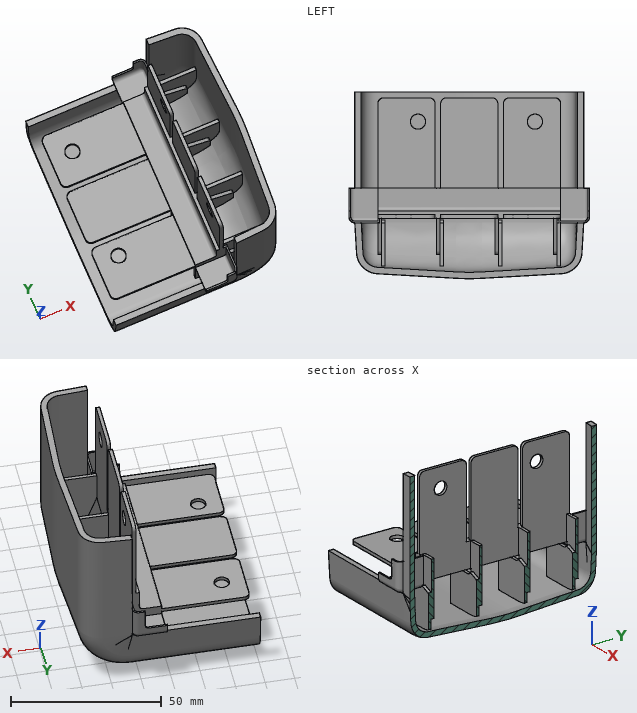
import cadquery as cq
import math


COVER_LEG = 43.5
COVER_DEPTH = 18.5
COVER_HALF_WIDTH = 38.0
COVER_WALL = 2.15
COVER_DRAFT = 3.3
COVER_CORNER_RADIUS = 7.35
HALF_BEND_ANGLE = 45
FLOOR_CREST_HALF = 4.4

LEG = 11.6
PANEL_BACK = 1.5
PANEL_FRONT = 4.0
PANEL_HALF_WIDTH = 30.3
INNER_BEND_RADIUS = 1.3

TAB_COUNT = 3
TAB_GAP = 1.8
TAB_END = 41.5
TAB_THICKNESS = 1.3
TAB_CORNER_RADIUS = 2.0
TAB_WIDTH = (2 * PANEL_HALF_WIDTH - (TAB_COUNT - 1) * TAB_GAP) / TAB_COUNT
HOLE_DIAMETER = 5.0
HOLE_DISTANCE = 33.6
HOLE_HALF_SPACING = 19.4
HOLE_OFFSET = 2.4

HALF_LENGTH = 39.9
SHEET = 0.6
LIP_BEND_RADIUS = 2.0

FIN_PAIRS = 4
FIN_THICKNESS = 1.2
FIN_REACH = 14.3
FIN_TOE = 10.5
FIN_ANGLE = math.radians(21)
FIN_TOE_RADIUS = 1.9
FIN_ARC = math.asin(FIN_TOE / FIN_REACH)
FIN_PITCH = (2 * PANEL_HALF_WIDTH - 2 * FIN_THICKNESS) / (FIN_PAIRS - 1)


def nearest(x, y, z):
    return cq.selectors.NearestToPointSelector((x, y, z))


def on_other_leg(shape):
    """Half turn about the diagonal between the legs: takes the -X leg to the +Z leg and flips Y."""
    return shape.rotate((0, 0, 0), (1, 0, -1), 180)


def trough(inset):
    """Half of the solid L-shaped trough, with its walls set in from the cover's outside by `inset`."""
    slope = math.tan(math.radians(COVER_DRAFT))
    normal_stretch = 1 / math.cos(math.radians(COVER_DRAFT))
    crest_radius = FLOOR_CREST_HALF / math.sin(math.radians(COVER_DRAFT))
    crest_height = crest_radius * (normal_stretch - 1)
    top = COVER_HALF_WIDTH - inset * normal_stretch
    peak = COVER_DEPTH + crest_height - inset * normal_stretch
    corner_y = (top - slope * peak) / (1 - slope**2)
    corner_z = -(peak - slope * corner_y)
    profile = (
        cq.Sketch()
        .polygon([(-top, 0), (-corner_y, corner_z), (0, -peak), (corner_y, corner_z), (top, 0), (-top, 0)])
        .vertices(nearest(0, -peak, 0))
        .fillet(crest_radius - inset)
        .reset()
        .vertices(nearest(-corner_y, corner_z, 0))
        .fillet(COVER_CORNER_RADIUS - inset)
        .reset()
        .vertices(nearest(corner_y, corner_z, 0))
        .fillet(COVER_CORNER_RADIUS - inset)
        .reset()
    )
    leg = cq.Workplane("YZ").placeSketch(profile).extrude(-COVER_LEG)
    bend = cq.Workplane("YZ").placeSketch(profile).revolve(HALF_BEND_ANGLE, (0, 0, 0), (-1, 0, 0))
    return leg.union(bend, clean=False)


def make_cover():
    half = trough(0).cut(trough(COVER_WALL))
    return half.union(on_other_leg(half), clean=False)


def l_section(back, front, start_y, length):
    """L-shaped bar along Y lying between the distances `back` and `front` from the leg planes."""
    return (
        cq.Workplane("XZ", origin=(0, start_y, 0))
        .polyline([(-LEG, back), (-back, back), (-back, LEG), (-front, LEG), (-front, front), (-LEG, front)])
        .close()
        .extrude(-length)
    )


def make_panel():
    panel = l_section(PANEL_BACK, PANEL_FRONT, -PANEL_HALF_WIDTH, 2 * PANEL_HALF_WIDTH)
    return panel.edges(nearest(-PANEL_FRONT, 0, PANEL_FRONT)).fillet(INNER_BEND_RADIUS)


def make_tabs():
    """The tabs of the -X leg, with a hole through each of the outer ones."""
    length = TAB_END - LEG
    tabs = (
        cq.Workplane("XY", origin=(-LEG - length / 2, 0, PANEL_BACK))
        .rarray(0.8, TAB_WIDTH + TAB_GAP, 1, TAB_COUNT)
        .rect(length, TAB_WIDTH)
        .extrude(TAB_THICKNESS)
        .edges("|Z and <X")
        .fillet(TAB_CORNER_RADIUS)
    )
    holes = (
        cq.Workplane("XY", origin=(-HOLE_DISTANCE, HOLE_OFFSET, PANEL_BACK))
        .pushPoints([(0, -HOLE_HALF_SPACING), (0, HOLE_HALF_SPACING)])
        .circle(HOLE_DIAMETER / 2)
        .extrude(TAB_THICKNESS)
    )
    return tabs.cut(holes)


def flange_body(inset, start_y):
    """L-shaped bar at the +Y end, with rounded back edges, set in from the flange's outside."""
    end_y = HALF_LENGTH - inset
    middle_y = (start_y + end_y) / 2
    return (
        l_section(inset, PANEL_FRONT, start_y, end_y - start_y)
        .edges(nearest(-PANEL_FRONT, middle_y, PANEL_FRONT))
        .fillet(INNER_BEND_RADIUS)
        .edges(nearest(-inset, middle_y, inset))
        .fillet(PANEL_BACK - inset)
        .edges(nearest(-LEG / 2, end_y, inset))
        .fillet(LIP_BEND_RADIUS - inset)
    )


def make_flange():
    """Flange at the +Y end: a sheet with a lip, joined to the panel by a web."""
    inner_y = PANEL_HALF_WIDTH - SHEET
    return flange_body(0, inner_y).cut(flange_body(SHEET, PANEL_HALF_WIDTH))


def make_upper_fin(top_y):
    """Fin that stands on the back of the +Z leg and reaches down past the bend."""
    toe_x = (PANEL_BACK + FIN_TOE) * math.tan(FIN_ANGLE) - PANEL_BACK
    arc_mid = FIN_REACH * math.cos(FIN_ARC / 2), -FIN_REACH * math.sin(FIN_ARC / 2)
    arc_end = FIN_REACH * math.cos(FIN_ARC), -FIN_TOE
    return (
        cq.Workplane("XZ", origin=(0, top_y, 0))
        .moveTo(-PANEL_BACK, PANEL_BACK)
        .lineTo(-PANEL_BACK, LEG)
        .lineTo(FIN_REACH, LEG)
        .lineTo(FIN_REACH, 0)
        .threePointArc(arc_mid, arc_end)
        .lineTo(toe_x, -FIN_TOE)
        .close()
        .extrude(FIN_THICKNESS)
        .edges(nearest(toe_x, top_y - FIN_THICKNESS / 2, -FIN_TOE))
        .fillet(FIN_TOE_RADIUS)
    )


def make_lower_fin(top_y):
    """Upper fin turned over to the -X leg, with a rounded clearance in front of the leg planes."""
    fin = on_other_leg(make_upper_fin(FIN_THICKNESS - top_y))
    clearance = (
        cq.Workplane("XZ", origin=(0, top_y, 0))
        .rect(-LEG, LEG, centered=False)
        .extrude(FIN_THICKNESS)
        .edges(nearest(0, top_y - FIN_THICKNESS / 2, 0))
        .fillet(PANEL_BACK)
    )
    return fin.cut(clearance)


def make_bracket():
    tabs = make_tabs()
    flange = make_flange()
    bracket = make_panel().union(tabs).union(on_other_leg(tabs))
    bracket = bracket.union(flange).union(on_other_leg(flange))
    for i in range(FIN_PAIRS):
        top_y = PANEL_HALF_WIDTH - i * FIN_PITCH
        bracket = bracket.union(make_upper_fin(top_y)).union(make_lower_fin(top_y - FIN_THICKNESS))
    return bracket


cover = make_cover()
bracket = make_bracket()
result = cq.Compound.makeCompound([cover.val(), bracket.val()])